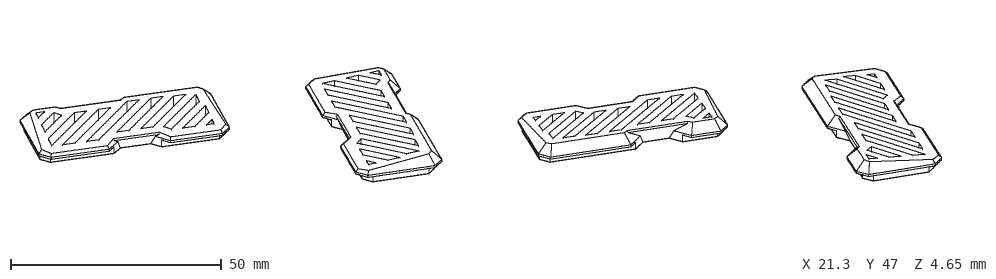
import cadquery as cq
import math

WIDTH = 21.3
LENGTH = 47.0
HEIGHT = 4.65
CORNER_CHAMFER = 2.35

PLUG_WIDTH = 17.9
PLUG_LENGTH = 45.65
PLUG_CHAMFER = 2.0
PLUG_HEIGHT = 1.85

RIM_THICKNESS = 0.55
RIM_TOP = PLUG_HEIGHT + RIM_THICKNESS
BEVEL_ANGLE = 45.0
TOP_SLOPE = math.tan(math.radians(5.0))
BEVEL_HEIGHT = HEIGHT - RIM_TOP
CREST_X = -WIDTH / 2 + BEVEL_HEIGHT

NOTCH_MOUTH = 15.1
LEFT_NOTCH_Y = -6.3
RIGHT_NOTCH_Y = 0.75
NOTCH_FLOOR_X = 7.9
NOTCH_LIP = 0.38
UNDERCUT = math.tan(math.radians(20.0))

SLOT_WIDTH = 2.1
SLOT_PITCH = 4.2
SLOT_OFFSET = -1.93
GRILLE_RIGHT = 7.15
GRILLE_TOP = 20.05
GRILLE_BOTTOM = -19.9
UPPER_SLOT_TOP = 19.07
WAIST_RIGHT = 5.05
WAIST_LEFT = -5.05
UPPER_LEFT = -6.6
SHOULDER_LEFT = -6.15
CORNER_LEFT = -7.1
UPPER_SQUARE_END = -1.85
LOWER_SQUARE_START = 6.75


def chamfered_block(width, length, chamfer, bottom, height):
    return (
        cq.Workplane("XY")
        .workplane(offset=bottom)
        .rect(width, length)
        .extrude(height)
        .edges("|Z")
        .chamfer(chamfer)
    )


def top_z(x):
    """Height of the sloping top face at x."""
    return HEIGHT - TOP_SLOPE * (x - CREST_X)


def bevelled_plate():
    """Rim with a 45 degree bevel above it, before the top is sloped."""
    rim = chamfered_block(WIDTH, LENGTH, CORNER_CHAMFER, PLUG_HEIGHT, RIM_THICKNESS)
    bevel = rim.faces(">Z").wires().toPending().extrude(BEVEL_HEIGHT, taper=BEVEL_ANGLE)
    return bevel


def slope_cutter():
    """Everything above the sloping top face."""
    half = WIDTH
    return (
        cq.Workplane("XZ")
        .polyline([(-half, top_z(-half)), (half, top_z(half)), (half, 2 * half), (-half, 2 * half)])
        .close()
        .extrude(LENGTH, both=True)
    )


def notch_cutter(side, centre_y):
    """Notch on the side -1 (left) or +1 (right)."""
    mouth_x = WIDTH / 2
    deep_x = NOTCH_MOUTH / 2

    def ends(z, height, taper):
        triangle = [
            (side * (mouth_x + deep_x), NOTCH_MOUTH),
            (side * (mouth_x - deep_x), 0),
            (side * (mouth_x + deep_x), -NOTCH_MOUTH),
        ]
        return (
            cq.Workplane("XY")
            .workplane(offset=z)
            .polyline(triangle)
            .close()
            .extrude(height, taper=taper)
            .translate((0, centre_y, 0))
        )

    opening = ends(0, RIM_TOP, 0).union(ends(RIM_TOP, HEIGHT, -BEVEL_ANGLE))

    lip_z = top_z(side * (NOTCH_FLOOR_X - NOTCH_LIP)) - NOTCH_LIP
    floor_bottom_x = NOTCH_FLOOR_X - lip_z * UNDERCUT
    bevel_top_x = NOTCH_FLOOR_X - (HEIGHT - lip_z)
    section = [
        (side * WIDTH, 0),
        (side * floor_bottom_x, 0),
        (side * NOTCH_FLOOR_X, lip_z),
        (side * bevel_top_x, HEIGHT),
        (side * WIDTH, HEIGHT),
    ]
    beyond_floor = cq.Workplane("XZ").polyline(section).close().extrude(LENGTH, both=True)
    return opening.intersect(beyond_floor)


def slot_cutter(
    number,
    left=-WIDTH / 2,
    right=GRILLE_RIGHT,
    bottom=GRILLE_BOTTOM,
    top=GRILLE_TOP,
    start=-LENGTH,
    end=LENGTH,
):
    """Diagonal band trimmed by X and Y limits, and by square ends along its length."""
    band = (
        cq.Workplane("XY")
        .center((start + end) / 2, SLOT_OFFSET + number * SLOT_PITCH)
        .rect(end - start, SLOT_WIDTH)
        .extrude(HEIGHT)
        .rotate((0, 0, 0), (0, 0, 1), -45)
    )
    window = (
        cq.Workplane("XY")
        .center((left + right) / 2, (bottom + top) / 2)
        .rect(right - left, top - bottom)
        .extrude(HEIGHT)
    )
    return band.intersect(window)


SLOTS = [
    slot_cutter(5),
    slot_cutter(4),
    slot_cutter(3, top=UPPER_SLOT_TOP, end=UPPER_SQUARE_END),
    slot_cutter(2, left=SHOULDER_LEFT, right=WAIST_RIGHT),
    slot_cutter(1, left=UPPER_LEFT, right=WAIST_RIGHT),
    slot_cutter(0, left=UPPER_LEFT),
    slot_cutter(-1, left=WAIST_LEFT),
    slot_cutter(-2, left=WAIST_LEFT),
    slot_cutter(-3, start=LOWER_SQUARE_START),
    slot_cutter(-4, left=CORNER_LEFT),
]

plug = chamfered_block(PLUG_WIDTH, PLUG_LENGTH, PLUG_CHAMFER, 0, PLUG_HEIGHT)
result = plug.union(bevelled_plate()).cut(slope_cutter())
result = result.cut(notch_cutter(-1, LEFT_NOTCH_Y))
result = result.cut(notch_cutter(1, RIGHT_NOTCH_Y))
for slot in SLOTS:
    result = result.cut(slot)